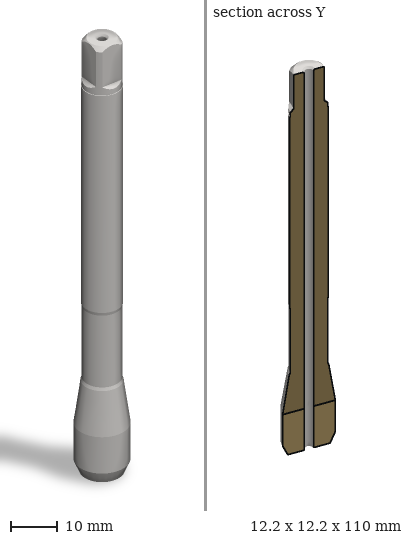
import cadquery as cq

total_length = 110.0
coolant_diameter = 2.0
countersink_diameter = 2.9

head_diameter = 12.2
lead_tip_diameter = 9.8
lead_length = 3.0
head_length = 12.2

neck_diameter = 8.7
neck_start = 23.8
flare_top_diameter = 9.2
flare_top = 23.0
shaft_diameter = 9.0
shaft_start = 42.8
neck_step_length = 0.8

square_width = 7.0
square_length = 9.9
end_diameter = 8.7
end_length = 12.0
end_face_diameter = 6.7
end_chamfer_length = (end_diameter - end_face_diameter) / 2


def revolve_profile(points):
    """Revolve (radius, height) points, closed along the axis, about Z."""
    return cq.Workplane("XZ").polyline(points).close().revolve(360, (0, 0), (0, 1))


def drill_coolant_bore(body):
    bore = cq.Workplane("XY").circle(coolant_diameter / 2).extrude(total_length)
    return body.cut(bore)


def make_head():
    head = revolve_profile([
        (0, 0),
        (lead_tip_diameter / 2, 0),
        (head_diameter / 2, lead_length),
        (head_diameter / 2, head_length),
        (0, head_length),
    ])
    return drill_coolant_bore(head)


def mill_square(body):
    """Mill four flats that run out through 45-degree ramps at their lower ends."""
    inner = square_width / 2
    outer = shaft_diameter
    flat_bottom = total_length - square_length
    cutter = (
        cq.Workplane("XZ")
        .polyline([
            (inner, total_length),
            (inner, flat_bottom),
            (outer, flat_bottom - (outer - inner)),
            (outer, total_length),
        ])
        .close()
        .extrude(shaft_diameter, both=True)
    )
    for side in range(4):
        body = body.cut(cutter.rotate((0, 0, 0), (0, 0, 1), side * 90))
    return body


def countersink_end(body):
    """Open the bore at the driving end with a 45-degree countersink."""
    depth = (countersink_diameter - coolant_diameter) / 2
    cone = revolve_profile([
        (0, total_length),
        (countersink_diameter / 2, total_length),
        (coolant_diameter / 2, total_length - depth),
        (0, total_length - depth),
    ])
    return body.cut(cone)


def make_shank():
    shank = revolve_profile([
        (0, head_length),
        (head_diameter / 2, head_length),
        (flare_top_diameter / 2, flare_top),
        (neck_diameter / 2, neck_start),
        (neck_diameter / 2, shaft_start - neck_step_length),
        (shaft_diameter / 2, shaft_start),
        (shaft_diameter / 2, total_length - end_length),
        (end_diameter / 2, total_length - end_length),
        (end_diameter / 2, total_length - end_chamfer_length),
        (end_face_diameter / 2, total_length),
        (0, total_length),
    ])
    return countersink_end(drill_coolant_bore(mill_square(shank)))


head = make_head()
shank = make_shank()
result = cq.Compound.makeCompound([head.val(), shank.val()])